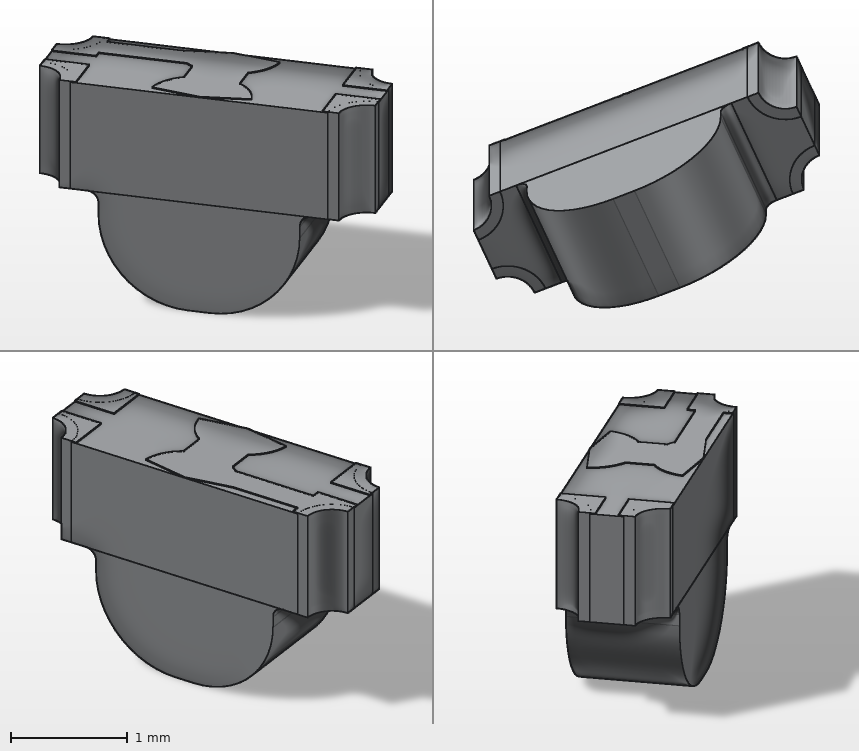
import cadquery as cq
import math

length = 3.0
width = 1.0
body_height = 1.0
pad_thickness = 0.01
board_height = body_height - pad_thickness

notch_radius = 0.25
barrel_radius = 0.35
pad_size = 0.4

strip_low_y = 0.175
bow_corner_x = 0.445
bow_corner_y = 0.42
bow_waist_x = 0.25
bow_waist_y = 0.125
bow_flank_bulge = 0.04

lens_width = 1.8
lens_height = 1.002
lens_corner_radius = 0.8
lens_root_radius = 0.1

half_length = length / 2
half_width = width / 2
corner_signs = [(sx, sy) for sx in (-1, 1) for sy in (-1, 1)]
trace_corner = (-1, 1)


def corner_cylinder(sign_x, sign_y, radius, height):
    """Vertical cylinder centred on one corner of the board."""
    return cq.Workplane().center(sign_x * half_length, sign_y * half_width).circle(radius).extrude(height)


def make_board():
    """Plain block with a round recess for the barrel at each corner."""
    board = cq.Workplane().box(length, width, board_height, centered=(True, True, False))
    for sign_x, sign_y in corner_signs:
        board = board.cut(corner_cylinder(sign_x, sign_y, barrel_radius, board_height))
    return board


def make_trace():
    """Bow-tie and the strip that links it to a corner pad."""
    flank_dx = bow_corner_x - bow_waist_x
    flank_dy = bow_corner_y - bow_waist_y
    chord = math.hypot(flank_dx, flank_dy)
    flank_x = (bow_corner_x + bow_waist_x) / 2 + bow_flank_bulge * flank_dy / chord
    flank_y = (bow_corner_y + bow_waist_y) / 2 - bow_flank_bulge * flank_dx / chord
    bow_tie = (
        cq.Workplane(origin=(0, 0, board_height))
        .moveTo(0, half_width)
        .lineTo(bow_corner_x, bow_corner_y)
        .threePointArc((flank_x, flank_y), (bow_waist_x, bow_waist_y))
        .lineTo(bow_waist_x, -bow_waist_y)
        .threePointArc((flank_x, -flank_y), (bow_corner_x, -bow_corner_y))
        .lineTo(0, -half_width)
        .lineTo(-bow_corner_x, -bow_corner_y)
        .threePointArc((-flank_x, -flank_y), (-bow_waist_x, -bow_waist_y))
        .lineTo(-bow_waist_x, bow_waist_y)
        .threePointArc((-flank_x, flank_y), (-bow_corner_x, bow_corner_y))
        .close()
        .extrude(pad_thickness)
    )
    strip_start = pad_size - half_length
    strip = cq.Workplane().box(
        -strip_start, bow_corner_y - strip_low_y, pad_thickness, centered=False
    ).translate((strip_start, strip_low_y, board_height))
    return bow_tie.union(strip)


def make_terminal(sign_x, sign_y):
    """Corner pad with its barrel; one corner also carries the trace."""
    corner_block = cq.Workplane().box(
        pad_size, pad_size, body_height, centered=(True, True, False)
    ).translate((sign_x * (half_length - pad_size / 2), sign_y * (half_width - pad_size / 2), 0))
    barrel = corner_block.intersect(corner_cylinder(sign_x, sign_y, barrel_radius, body_height))
    pad = corner_block.intersect(
        cq.Workplane(origin=(0, 0, board_height)).rect(length, width).extrude(pad_thickness)
    )
    terminal = barrel.union(pad)
    if (sign_x, sign_y) == trace_corner:
        terminal = terminal.union(make_trace())
    return terminal.cut(corner_cylinder(sign_x, sign_y, notch_radius, body_height)).clean()


def make_lens():
    """Rounded lens, as wide in Y as the board, flaring out where it meets the board."""
    half_lens = lens_width / 2
    flat_end = half_lens - lens_corner_radius
    root_end = half_lens + lens_root_radius
    corner_start = lens_corner_radius - lens_height
    return (
        cq.Workplane("XZ")
        .moveTo(-root_end, 0)
        .lineTo(root_end, 0)
        .radiusArc((half_lens, -lens_root_radius), -lens_root_radius)
        .lineTo(half_lens, corner_start)
        .radiusArc((flat_end, -lens_height), lens_corner_radius)
        .lineTo(-flat_end, -lens_height)
        .radiusArc((-half_lens, corner_start), lens_corner_radius)
        .lineTo(-half_lens, -lens_root_radius)
        .radiusArc((-root_end, 0), -lens_root_radius)
        .close()
        .extrude(half_width, both=True)
    )


board = make_board()
lens = make_lens()
terminals = [make_terminal(sign_x, sign_y) for sign_x, sign_y in corner_signs]

result = cq.Compound.makeCompound([board.val(), lens.val(), *[terminal.val() for terminal in terminals]])